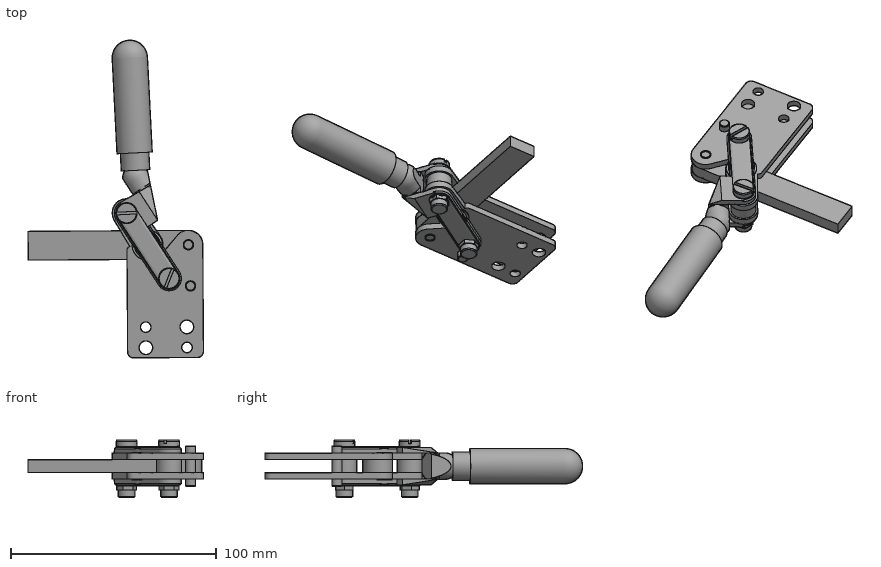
import cadquery as cq
import math


BAR_Z = 3.175
PLATE_Z = 6.35
WASHER_Z = 6.75
RIVET_Z = 8.7
STRIP_EDGE_Z = 8.4
ARM_Z = 9.1
PANEL_Z = 9.6
LOOSE_PIN_Z = 9.9

TILT = 0.35
PLATE_WIDTH = 37.0
PLATE_CORNER_R = 3.0
PLATE_SHOULDER_Y = 55.0
SHOULDER_R = 2.0
NOTCH = (16.5, 50.0)
LOBE_R = 7.06
LOBE_ANGLE = 143.0
PIN_SPACING = 20.0
PIN_R = 2.5
PIN_CHAMFER = 0.4
PIN_RING_WIDTH = 0.35
BAR_PIN = (PLATE_WIDTH - LOBE_R, 54.9)
LOOSE_PIN = (30.85, BAR_PIN[1] - PIN_SPACING)
LINK_PIN = (BAR_PIN[0] - PIN_SPACING, BAR_PIN[1])
SMALL_HOLE_R = 2.5
LARGE_HOLE_R = 3.25
HOLE_X = 8.95
HOLE_Y = 4.95
HOLE_PITCH_X = 20.0
HOLE_PITCH_Y = 10.0
BAR_HEIGHT = 14.1
BAR_END_X = -48.08
BAR_NOSE = 6.5

UPPER_SCREW = (-0.47, 70.5)
LOWER_SCREW = (20.2, 38.7)
STRIP_DX = LOWER_SCREW[0] - UPPER_SCREW[0]
STRIP_DY = LOWER_SCREW[1] - UPPER_SCREW[1]
STRIP_LENGTH = math.hypot(STRIP_DX, STRIP_DY)
STRIP_R = 6.0
STRIP_CHAMFER = ARM_Z - STRIP_EDGE_Z
PANEL_R = 4.9
PANEL_CHAMFER = (0.3, 1.1)
SPACER_R = 6.1

LINK_UPPER_R = 7.0
LINK_LOWER_R = 7.7
WASHER_R = 7.4
RIVET_R = 6.3

ARM_BACK = -5.4
ARM_FRONT = 11.2
ARM_FLAT_WIDTH = 10.8
FLANK_TIP = (-5.1, 17.2)
FLANK_TIP_Z = 6.4
BRIDGE_START = -6.0
BRIDGE_END = -2.2
NECK_R = 6.5
NECK_FLAT = 5.6

HANDLE_TILT = 2.9
GRIP_R = 8.65
GRIP_TOP = (1.1, 146.0)
GRIP_LENGTH = 46.3
COLLAR_R = 7.0
COLLAR_LENGTH = 8.5
BALL_DROP = 58.5

HEAD_R = 5.1
HEAD_TOP_Z = 12.84
HEAD_CHAMFER = (0.75, 0.3)
SLOT_WIDTH = 1.3
SLOT_DEPTH = 1.9
UPPER_SLOT_ANGLE = 3.0
LOWER_SLOT_ANGLE = 68.0
NUT_ACROSS_CORNERS = 9.9
NUT_Z = 11.7
NUT_COLLAR_R = 4.1
NUT_COLLAR_Z = 15.16
NUT_CHAMFER = 0.5
UPPER_NUT_ANGLE = 10.0
LOWER_NUT_ANGLE = 0.0


def polar(center, radius, angle):
    a = math.radians(angle)
    return (center[0] + radius * math.cos(a), center[1] + radius * math.sin(a))


def disc(center, radius, z_low, z_high):
    return cq.Workplane("XY", origin=(*center, z_low)).circle(radius).extrude(z_high - z_low)


def both_sides(body):
    return body.union(body.mirror("XY"))


def tilted(body):
    return body.rotate((0, 0, 0), (0, 0, 1), TILT)


def turn(point):
    a = math.radians(TILT)
    c, s = math.cos(a), math.sin(a)
    return (point[0] * c - point[1] * s, point[0] * s + point[1] * c)


def strip_plane(z):
    """Frame at the upper screw: x runs towards the lower screw, y across the strip."""
    return cq.Plane(origin=(*UPPER_SCREW, z), xDir=(STRIP_DX, STRIP_DY, 0), normal=(0, 0, 1))


def base_plate():
    tangent = polar(BAR_PIN, LOBE_R, LOBE_ANGLE)
    plate = (
        cq.Workplane("XY", origin=(0, 0, BAR_Z))
        .lineTo(PLATE_WIDTH, 0)
        .lineTo(PLATE_WIDTH, BAR_PIN[1])
        .threePointArc(polar(BAR_PIN, LOBE_R, LOBE_ANGLE / 2), tangent)
        .lineTo(*NOTCH)
        .lineTo(0, PLATE_SHOULDER_Y)
        .close()
        .extrude(PLATE_Z - BAR_Z)
    )
    plate = plate.edges("|Z and <Y").fillet(PLATE_CORNER_R)
    shoulder = cq.selectors.NearestToPointSelector((0, PLATE_SHOULDER_Y, (BAR_Z + PLATE_Z) / 2))
    plate = plate.edges("|Z").edges(shoulder).fillet(SHOULDER_R)
    for column in range(2):
        for row in range(2):
            radius = LARGE_HOLE_R if column == row else SMALL_HOLE_R
            center = (HOLE_X + column * HOLE_PITCH_X, HOLE_Y + row * HOLE_PITCH_Y)
            plate = plate.cut(disc(center, radius, BAR_Z, PLATE_Z))
    ring_z = PLATE_Z - PIN_CHAMFER
    ring = disc(BAR_PIN, PIN_R, ring_z, PLATE_Z)
    ring = ring.cut(disc(BAR_PIN, PIN_R - PIN_RING_WIDTH, ring_z, PLATE_Z))
    return plate.cut(ring)


def clamping_bar():
    low = BAR_PIN[1] - BAR_HEIGHT / 2
    high = BAR_PIN[1] + BAR_HEIGHT / 2
    return (
        cq.Workplane("XY", origin=(0, 0, -BAR_Z))
        .moveTo(BAR_END_X, low)
        .lineTo(BAR_PIN[0], low)
        .threePointArc((BAR_PIN[0] + BAR_NOSE, BAR_PIN[1]), (BAR_PIN[0], high))
        .lineTo(BAR_END_X, high)
        .close()
        .extrude(2 * BAR_Z)
    )


def loose_pin():
    pin = disc(LOOSE_PIN, PIN_R, -LOOSE_PIN_Z, LOOSE_PIN_Z)
    return pin.faces("<Z or >Z").chamfer(PIN_CHAMFER)


def link():
    """Flat link with a larger eye at the bar, its washer and rivet head."""
    pivot = turn(LINK_PIN)
    dx = pivot[0] - UPPER_SCREW[0]
    dy = pivot[1] - UPPER_SCREW[1]
    length = math.hypot(dx, dy)
    heading = math.degrees(math.atan2(dy, dx))
    spread = math.degrees(math.acos((LINK_UPPER_R - LINK_LOWER_R) / length))
    body = (
        cq.Workplane("XY", origin=(0, 0, BAR_Z))
        .moveTo(*polar(UPPER_SCREW, LINK_UPPER_R, heading + spread))
        .threePointArc(
            polar(UPPER_SCREW, LINK_UPPER_R, heading + 180),
            polar(UPPER_SCREW, LINK_UPPER_R, heading - spread),
        )
        .lineTo(*polar(pivot, LINK_LOWER_R, heading - spread))
        .threePointArc(
            polar(pivot, LINK_LOWER_R, heading),
            polar(pivot, LINK_LOWER_R, heading + spread),
        )
        .close()
        .extrude(PLATE_Z - BAR_Z)
    )
    body = body.union(disc(pivot, WASHER_R, PLATE_Z, WASHER_Z))
    return body.union(disc(pivot, RIVET_R, WASHER_Z, RIVET_Z))


def capsule(radius, z_low, z_high):
    return (
        cq.Workplane(strip_plane(z_low))
        .center(STRIP_LENGTH / 2, 0)
        .slot2D(STRIP_LENGTH + 2 * radius, 2 * radius)
        .extrude(z_high - z_low)
    )


def lever_strip():
    base = capsule(STRIP_R, PLATE_Z, ARM_Z).faces(">Z").chamfer(STRIP_CHAMFER)
    panel = capsule(PANEL_R, ARM_Z, PANEL_Z).faces(">Z").chamfer(*PANEL_CHAMFER)
    return base.union(panel)


def fork_arm():
    """Side arm of the lever, with a flank sloping down outside its flat top."""
    outline = (
        cq.Workplane(strip_plane(PLATE_Z))
        .moveTo(-STRIP_R, 0)
        .lineTo(ARM_BACK, ARM_FLAT_WIDTH)
        .lineTo(*FLANK_TIP)
        .lineTo(ARM_FRONT, ARM_FLAT_WIDTH)
        .lineTo(ARM_FRONT, 0)
        .close()
        .extrude(ARM_Z - PLATE_Z)
    )
    across = cq.Plane(
        origin=(*UPPER_SCREW, 0),
        xDir=(-STRIP_DY, STRIP_DX, 0),
        normal=(STRIP_DX, STRIP_DY, 0),
    )
    section = (
        cq.Workplane(across)
        .polyline([
            (0, PLATE_Z),
            (FLANK_TIP[1], PLATE_Z),
            (FLANK_TIP[1], FLANK_TIP_Z),
            (ARM_FLAT_WIDTH, ARM_Z),
            (0, ARM_Z),
        ])
        .close()
        .extrude(STRIP_LENGTH, both=True)
    )
    return outline.intersect(section)


def ball_center():
    return polar(GRIP_TOP, BALL_DROP, HANDLE_TILT - 90)


def lever_neck():
    """Ball under the handle, short flattened stem and the bridge joining both arms."""
    ball = cq.Workplane("XY", origin=(*ball_center(), 0)).sphere(NECK_R)
    local = strip_plane(0).toLocalCoords(cq.Vector(*ball_center(), 0))
    stem_plane = cq.Plane(
        origin=(*ball_center(), 0), xDir=(0, 0, 1), normal=(STRIP_DX, STRIP_DY, 0)
    )
    stem = cq.Workplane(stem_plane).circle(NECK_R).extrude(BRIDGE_END - local.x)
    neck = ball.union(stem)
    flat = local.y - NECK_FLAT
    shaving = (
        cq.Workplane(strip_plane(0))
        .center(local.x, flat - NECK_R)
        .rect(4 * NECK_R, 2 * NECK_R)
        .extrude(NECK_R, both=True)
    )
    bridge = (
        cq.Workplane(strip_plane(0))
        .moveTo(BRIDGE_START, flat)
        .lineTo(BRIDGE_END, flat)
        .lineTo(*FLANK_TIP)
        .lineTo(BRIDGE_START, FLANK_TIP[1])
        .close()
        .extrude(PLATE_Z, both=True)
    )
    flank_slope = (FLANK_TIP[1] - ARM_FLAT_WIDTH) / (FLANK_TIP[0] - ARM_FRONT)
    ball_back = local.x - NECK_R
    flank_back = FLANK_TIP[1] + flank_slope * (ball_back - FLANK_TIP[0])
    flank_cut = (
        cq.Workplane(strip_plane(0))
        .moveTo(ball_back, flank_back)
        .lineTo(ARM_FRONT, ARM_FLAT_WIDTH)
        .lineTo(ARM_FRONT, flank_back + NECK_R)
        .lineTo(ball_back, flank_back + NECK_R)
        .close()
        .extrude(NECK_R, both=True)
    )
    return neck.cut(shaving).union(bridge).cut(flank_cut)


def handle():
    axis = polar((0, 0), 1, HANDLE_TILT - 90)
    plane = cq.Plane(origin=(*GRIP_TOP, 0), xDir=(0, 0, 1), normal=(*axis, 0))
    grip = cq.Workplane(plane).circle(GRIP_R).extrude(GRIP_LENGTH)
    dome = cq.Workplane(plane).sphere(GRIP_R)
    collar = cq.Workplane(plane).circle(COLLAR_R).extrude(GRIP_LENGTH + COLLAR_LENGTH)
    return grip.union(dome).union(collar)


def screw(center, slot_angle, nut_angle):
    """Slotted screw, spacer between the plates, and a flange nut underneath."""
    head = disc(center, HEAD_R, PANEL_Z, HEAD_TOP_Z).faces(">Z").chamfer(*HEAD_CHAMFER)
    slot = (
        cq.Workplane("XY")
        .box(3 * HEAD_R, SLOT_WIDTH, SLOT_DEPTH, centered=(True, True, False))
        .rotate((0, 0, 0), (0, 0, 1), slot_angle)
        .translate((*center, HEAD_TOP_Z - SLOT_DEPTH))
    )
    nut = (
        cq.Workplane("XY")
        .polygon(6, NUT_ACROSS_CORNERS)
        .extrude(NUT_Z - PANEL_Z)
        .rotate((0, 0, 0), (0, 0, 1), nut_angle)
        .translate((*center, -NUT_Z))
    )
    nut_collar = disc(center, NUT_COLLAR_R, -NUT_COLLAR_Z, -PANEL_Z)
    nut_collar = nut_collar.faces("<Z").chamfer(NUT_CHAMFER)
    spacer = disc(center, SPACER_R, -BAR_Z, BAR_Z)
    return head.cut(slot).union(nut).union(nut_collar).union(spacer)


result = (
    tilted(both_sides(base_plate()))
    .union(tilted(clamping_bar()))
    .union(tilted(loose_pin()))
    .union(both_sides(link()))
    .union(both_sides(lever_strip()))
    .union(both_sides(fork_arm()))
    .union(lever_neck())
    .union(handle())
    .union(screw(UPPER_SCREW, UPPER_SLOT_ANGLE, UPPER_NUT_ANGLE))
    .union(screw(LOWER_SCREW, LOWER_SLOT_ANGLE, LOWER_NUT_ANGLE))
)